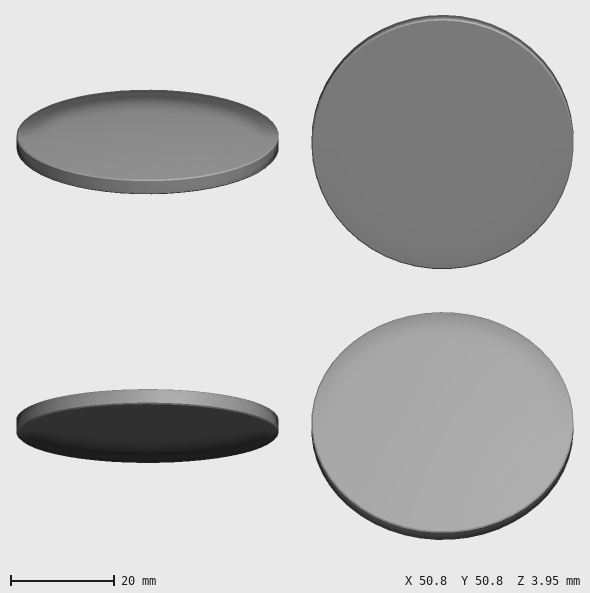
import cadquery as cq

diameter = 50.8
thickness = 3.95
dome_height = 0.95
rim_chamfer = 0.25
top_chamfer_height = 0.2

radius = diameter / 2
dome_radius = radius - rim_chamfer
dome_base = thickness - dome_height
sphere_radius = (dome_radius**2 + dome_height**2) / (2 * dome_height)
mid_radius = dome_radius / 2
sphere_centre = thickness - sphere_radius
mid_height = sphere_centre + (sphere_radius**2 - mid_radius**2) ** 0.5

half_section = (
    cq.Workplane("XZ")
    .lineTo(radius - rim_chamfer, 0)
    .lineTo(radius, rim_chamfer)
    .lineTo(radius, dome_base - top_chamfer_height)
    .lineTo(dome_radius, dome_base)
    .threePointArc((mid_radius, mid_height), (0, thickness))
    .close()
)
result = half_section.revolve(360, (0, 0, 0), (0, 1, 0))